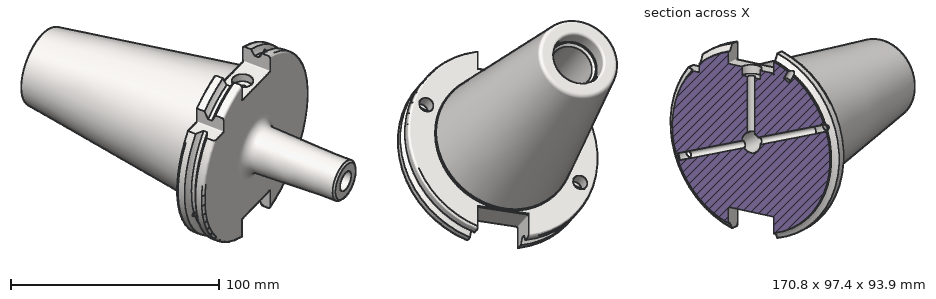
import cadquery as cq
import math

total_length = 170.8

arc_inset_ratio = 1 - math.sqrt(0.5)

gauge_x = 102.8
gauge_radius = 35.0
taper_end_radius = gauge_radius - gauge_x * 7 / 48
taper_end_fillet = 2.0

gauge_land = 0.7
neck_radius = 34.7
neck_corner = 0.3

flange_x = 105.0
flange_thickness = 15.5
flange_end_x = flange_x + flange_thickness
flange_radius = 48.7
flange_round = 1.2
groove_x = 112.9
groove_profile = ((3.0, 0), (2.0, 1.7), (1.0, 3.0))

nose_fillet = 5.0
nose_root_diameter = 23.5
nose_tip_diameter = 21.0
nose_root_radius = nose_root_diameter / 2
nose_tip_radius = nose_tip_diameter / 2
nose_tip_length = 10.0
nose_chamfer = 1.0

mouth_radius = 14.0
counterbore_radius = 12.6
mouth_round = mouth_radius - counterbore_radius
counterbore_depth = 9.0
thread_mouth_radius = 12.0
thread_radius = 10.6
thread_end_x = 42.7
coolant_radius = 5.1
drill_point_angle = math.radians(59)

slot_width = 26.0
upper_slot_floor = 37.7
lower_slot_floor = 35.3
notch_corner = 30.0
slot_corner_round = 0.5
slot_edge_chamfer = 0.5

pocket_radius = 5.1
pocket_depth = 4.5
pocket_hole_radius = 2.0

port_radius = 3.6
port_circle_radius = 41.8
port_angles = (20, 200)
cross_hole_radius = 1.7
index_hole_angle = 60
index_hole_floor_radius = 41.0


def add_groove(outline):
    """Append the groove, its two-slope flanks and flat floor, to the turned outline."""
    left_flank = [(groove_x - half, flange_radius - depth) for half, depth in groove_profile]
    right_flank = [(groove_x + half, flange_radius - depth) for half, depth in reversed(groove_profile)]
    for x, radius in left_flank + right_flank:
        outline = outline.lineTo(x, radius)
    return outline


def turned_body():
    """Taper, neck, flange and nose as one revolved outline."""
    nose_start_x = flange_end_x + nose_fillet
    fillet_top = nose_root_radius + nose_fillet
    arc_inset = nose_fillet * arc_inset_ratio
    rim_inset = flange_round * arc_inset_ratio
    outline = (
        cq.Workplane("XZ")
        .lineTo(0, taper_end_radius)
        .lineTo(gauge_x, gauge_radius)
        .lineTo(gauge_x + gauge_land, gauge_radius)
        .lineTo(gauge_x + gauge_land + neck_corner, neck_radius)
        .lineTo(flange_x - neck_corner, neck_radius)
        .lineTo(flange_x, neck_radius + neck_corner)
        .lineTo(flange_x, flange_radius - flange_round)
        .threePointArc(
            (flange_x + rim_inset, flange_radius - rim_inset),
            (flange_x + flange_round, flange_radius),
        )
    )
    outline = (
        add_groove(outline)
        .lineTo(flange_end_x - flange_round, flange_radius)
        .threePointArc(
            (flange_end_x - rim_inset, flange_radius - rim_inset),
            (flange_end_x, flange_radius - flange_round),
        )
        .lineTo(flange_end_x, fillet_top)
        .threePointArc(
            (flange_end_x + arc_inset, nose_root_radius + arc_inset),
            (nose_start_x, nose_root_radius),
        )
        .lineTo(total_length - nose_tip_length, nose_tip_radius)
        .lineTo(total_length, nose_tip_radius)
        .lineTo(total_length, 0)
        .close()
    )
    body = outline.revolve(360, (0, 0, 0), (1, 0, 0))
    body = body.faces("<X").edges().fillet(taper_end_fillet)
    return body.faces(">X").edges().chamfer(nose_chamfer)


def axial_bore():
    """Rounded mouth, counterbore, thread bore, drill point and through hole."""
    arc_inset = mouth_round * arc_inset_ratio
    thread_lead = thread_mouth_radius - thread_radius
    point_length = (thread_radius - coolant_radius) / math.tan(drill_point_angle)
    return (
        cq.Workplane("XZ")
        .lineTo(0, mouth_radius)
        .threePointArc(
            (arc_inset, counterbore_radius + arc_inset),
            (mouth_round, counterbore_radius),
        )
        .lineTo(counterbore_depth, counterbore_radius)
        .lineTo(counterbore_depth, thread_mouth_radius)
        .lineTo(counterbore_depth + thread_lead, thread_radius)
        .lineTo(thread_end_x, thread_radius)
        .lineTo(thread_end_x + point_length, coolant_radius)
        .lineTo(total_length, coolant_radius)
        .lineTo(total_length, 0)
        .close()
        .revolve(360, (0, 0, 0), (1, 0, 0))
    )


def rim_cut(y_low, y_high, z_low, z_high, bevel_wall=False):
    """Rounded rectangular cut across the flange with its floor edge, or floor and wall, bevelled."""
    width = y_high - y_low
    height = z_high - z_low
    face = cq.Workplane("YZ", origin=(flange_x, (y_low + y_high) / 2, (z_low + z_high) / 2))
    cut = face.rect(width, height).extrude(flange_thickness)
    cut = cut.edges("|X").fillet(slot_corner_round)
    bevel_height = height + 2 * slot_edge_chamfer
    bevel = face.rect(width + 2 * slot_edge_chamfer, bevel_height)
    bevel = bevel.extrude(slot_edge_chamfer, taper=45)
    if not bevel_wall:
        bevel = bevel.intersect(face.rect(width, bevel_height).extrude(slot_edge_chamfer))
    return cut.union(bevel)


def radial_hole(angle, radius, inner, outer):
    """Cylinder in the groove plane, pointing outward at an angle from +Y."""
    direction = cq.Vector(0, math.cos(math.radians(angle)), math.sin(math.radians(angle)))
    start = cq.Vector(groove_x, 0, 0) + direction * inner
    return cq.Workplane(obj=cq.Solid.makeCylinder(radius, outer - inner, start, direction))


def coolant_port(angle):
    """Axial hole in the flange face joined to a cross hole from groove to bore."""
    y = port_circle_radius * math.cos(math.radians(angle))
    z = port_circle_radius * math.sin(math.radians(angle))
    axial = (
        cq.Workplane("YZ", origin=(flange_x, y, z))
        .circle(port_radius)
        .extrude(groove_x - flange_x)
    )
    return axial.union(radial_hole(angle, cross_hole_radius, 0, flange_radius))


result = turned_body().cut(axial_bore())

half_slot = slot_width / 2
rim = flange_radius + 1.7
result = result.cut(rim_cut(-half_slot, half_slot, upper_slot_floor, rim))
result = result.cut(rim_cut(-half_slot, half_slot, -rim, -lower_slot_floor))
result = result.cut(rim_cut(-rim, -notch_corner, notch_corner, rim, bevel_wall=True))

pocket_floor = upper_slot_floor - pocket_depth
result = result.cut(radial_hole(90, pocket_radius, pocket_floor, flange_radius))
result = result.cut(radial_hole(90, pocket_hole_radius, 0, flange_radius))

for port_angle in port_angles:
    result = result.cut(coolant_port(port_angle))

result = result.cut(
    radial_hole(index_hole_angle, cross_hole_radius, index_hole_floor_radius, flange_radius)
)